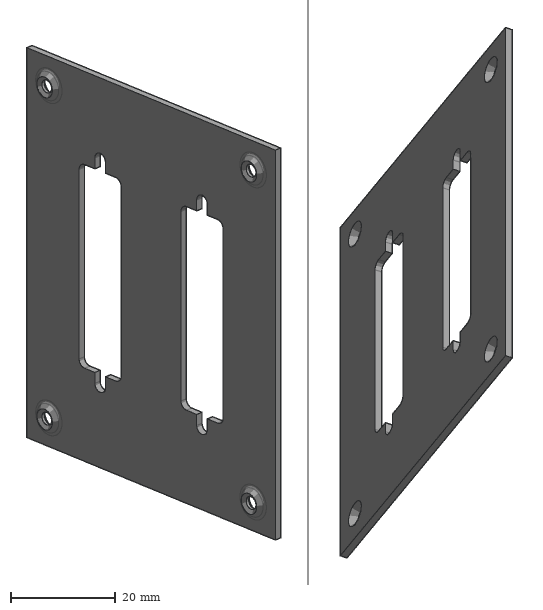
import cadquery as cq
import math

plate_width = 68.1
plate_height = 82.0
total_depth = 2.6
plate_thickness = 1.5

cutout_spacing = 27.9
window_width = 11.5
window_height = 42.8
window_corner_radius = 1.5
slot_width = 2.9
slot_length = 50.3

collar_edge_distance = 6.1
collar_height = total_depth - plate_thickness
collar_base_radius = 3.6
collar_tip_radius = 2.1
flare_radius = 0.9
hole_radius = 1.3
front_countersink_depth = 0.6
back_countersink_depth = 1.4
back_countersink_radius = 2.6

hole_spacing_x = plate_width - 2 * collar_edge_distance
hole_spacing_z = plate_height - 2 * collar_edge_distance


def make_plate():
    """Flat rectangular plate extending backwards from Y = 0."""
    return cq.Workplane("XZ").rect(plate_width, plate_height).extrude(-plate_thickness)


def make_cutout(center_x):
    """Rounded window joined with a longer, round-ended vertical slot."""
    window = (
        cq.Workplane("XZ")
        .center(center_x, 0)
        .rect(window_width, window_height)
        .extrude(-plate_thickness)
        .edges("|Y")
        .fillet(window_corner_radius)
    )
    slot = (
        cq.Workplane("XZ")
        .center(center_x, 0)
        .slot2D(slot_length, slot_width, 90)
        .extrude(-plate_thickness)
    )
    return window.union(slot)


def revolve_about_y(profile):
    """Turn a profile of radius against Y into a solid of revolution."""
    return profile.close().revolve(360, (0, 0, 0), (0, 1, 0))


def make_collar():
    """Cone whose foot flares tangentially into the plate; rooted at its back face."""
    slope = math.radians(45)
    flare_end = (
        collar_base_radius - flare_radius * math.sin(slope),
        -flare_radius * (1 - math.cos(slope)),
    )
    flare_middle = (
        collar_base_radius - flare_radius * math.sin(slope / 2),
        -flare_radius * (1 - math.cos(slope / 2)),
    )
    return revolve_about_y(
        cq.Workplane("XY")
        .moveTo(0, plate_thickness)
        .lineTo(collar_base_radius, plate_thickness)
        .lineTo(collar_base_radius, 0)
        .threePointArc(flare_middle, flare_end)
        .lineTo(collar_tip_radius, -collar_height)
        .lineTo(0, -collar_height)
    )


def make_countersunk_hole():
    """Through hole opening conically to the collar tip in front and to the plate's back face."""
    return revolve_about_y(
        cq.Workplane("XY")
        .moveTo(0, plate_thickness)
        .lineTo(back_countersink_radius, plate_thickness)
        .lineTo(hole_radius, plate_thickness - back_countersink_depth)
        .lineTo(hole_radius, front_countersink_depth - collar_height)
        .lineTo(collar_tip_radius, -collar_height)
        .lineTo(0, -collar_height)
    )


result = make_plate()

for side in (-1, 1):
    result = result.cut(make_cutout(side * cutout_spacing / 2))

for side_x in (-1, 1):
    for side_z in (-1, 1):
        position = (side_x * hole_spacing_x / 2, 0, side_z * hole_spacing_z / 2)
        result = result.union(make_collar().translate(position))
        result = result.cut(make_countersunk_hole().translate(position))